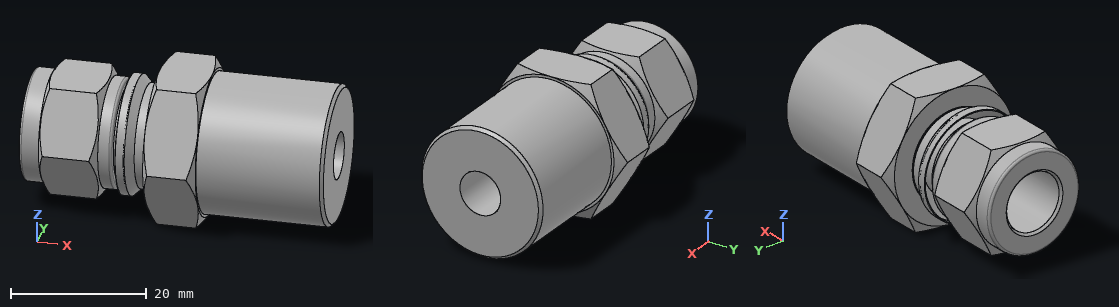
import cadquery as cq
import math


total_length = 46.41
through_bore_diameter = 7.11

nut_across_flats = 17.46
nut_front_diameter = 17.0
nut_rear_diameter = 16.8
nut_hex_start = 3.0
nut_hex_end = 11.93
nut_end = 14.0
nut_edge_radius = 0.4

tube_socket_diameter = 9.73
tube_socket_depth = 15.0
socket_chamfer = 0.4

neck_diameter = 14.28
neck_end = 15.45
relief_diameter = 12.5
relief_start = neck_end + (neck_diameter - relief_diameter) / 2

collar_diameter = 18.25
collar_start = 14.7
collar_rim_width = 1.4
collar_rim_end = collar_start + collar_rim_width
hub_diameter = 15.8
hub_start = collar_rim_end + (collar_diameter - hub_diameter) / 2
hub_end = 19.03
undercut_depth = 0.1
undercut_diameter = hub_diameter - 2 * undercut_depth

recess_diameter = 17.9
recess_wall_depth = 1.2
recess_cone_start = collar_start + recess_wall_depth
recess_bottom = recess_cone_start + (recess_diameter - relief_diameter) / 2

body_across_flats = 22.23
body_face_diameter = 22.2
body_hex_start = 19.34
body_hex_end = 27.28

weld_end_diameter = 21.3
weld_end_chamfer = 0.5

hex_bevel_angle = 30.0
hex_sides = 6


def cylinder(diameter, start, end):
    """Solid cylinder on the X axis between two stations."""
    return cq.Workplane("YZ").workplane(offset=start).circle(diameter / 2).extrude(end - start)


def turned(profile):
    """Solid of revolution about X from (station, diameter) points, closed along the axis."""
    first_station = profile[0][0]
    last_station = profile[-1][0]
    outline = [(station, diameter / 2) for station, diameter in profile]
    return (
        cq.Workplane("XY")
        .polyline([(first_station, 0)] + outline + [(last_station, 0)])
        .close()
        .revolve(360, (0, 0, 0), (1, 0, 0))
    )


def beveled_hexagon(across_flats, start, end, start_diameter, end_diameter):
    """Hexagon with flats facing +Z and -Z, its corners beveled by a cone at each end."""
    across_corners = across_flats / math.cos(math.pi / hex_sides)
    prism = cq.Workplane("YZ").workplane(offset=start).polygon(hex_sides, across_corners).extrude(end - start)

    slope = math.tan(math.radians(hex_bevel_angle))
    start_bevel = (across_corners - start_diameter) / 2 * slope
    end_bevel = (across_corners - end_diameter) / 2 * slope
    envelope = turned([
        (start, start_diameter),
        (start + start_bevel, across_corners),
        (end - end_bevel, across_corners),
        (end, end_diameter),
    ])
    return prism.intersect(envelope)


def compression_nut():
    """Hexagon between two round ends, each with a rounded outer edge."""
    front = cylinder(nut_front_diameter, 0, nut_hex_start).faces("<X").edges().fillet(nut_edge_radius)
    rear = cylinder(nut_rear_diameter, nut_hex_end, nut_end).faces(">X").edges().fillet(nut_edge_radius)
    hexagon = beveled_hexagon(
        nut_across_flats, nut_hex_start, nut_hex_end, nut_front_diameter, nut_rear_diameter
    )
    return hexagon.union(front).union(rear)


def collared_neck():
    """Neck running into the recessed collar, then the hub and its undercut."""
    return turned([
        (nut_end, neck_diameter),
        (neck_end, neck_diameter),
        (relief_start, relief_diameter),
        (recess_bottom, relief_diameter),
        (recess_cone_start, recess_diameter),
        (collar_start, recess_diameter),
        (collar_start, collar_diameter),
        (collar_rim_end, collar_diameter),
        (hub_start, hub_diameter),
        (hub_end, hub_diameter),
        (hub_end, undercut_diameter),
        (body_hex_start, undercut_diameter),
    ])


def body_hexagon():
    return beveled_hexagon(
        body_across_flats, body_hex_start, body_hex_end, body_face_diameter, body_face_diameter
    )


def weld_end():
    pipe = cylinder(weld_end_diameter, body_hex_end, total_length)
    return pipe.faces(">X").edges().chamfer(weld_end_chamfer)


def bore():
    """Through bore with a wider tube socket, chamfered at the mouth."""
    return turned([
        (0, tube_socket_diameter + 2 * socket_chamfer),
        (socket_chamfer, tube_socket_diameter),
        (tube_socket_depth, tube_socket_diameter),
        (tube_socket_depth, through_bore_diameter),
        (total_length, through_bore_diameter),
    ])


result = (
    compression_nut()
    .union(collared_neck())
    .union(body_hexagon())
    .union(weld_end())
    .cut(bore())
)